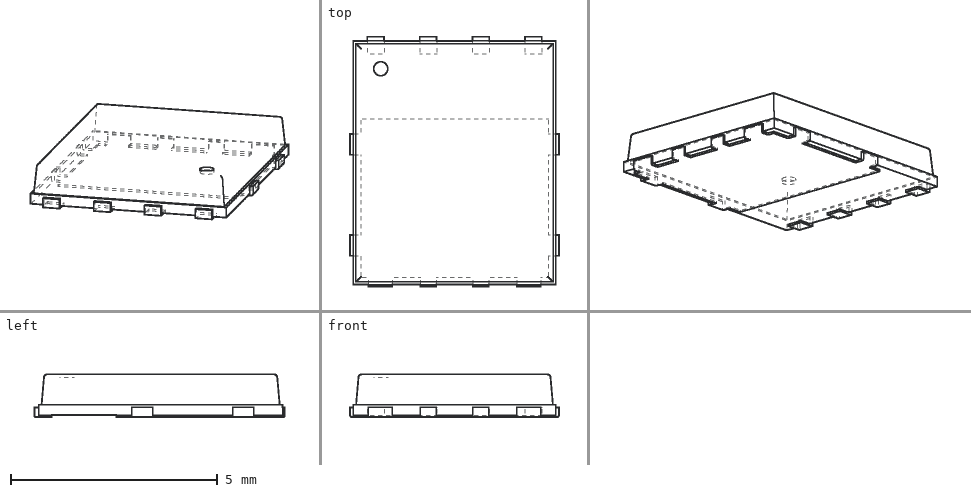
import cadquery as cq

BASE_WIDTH = 4.9
BASE_LENGTH = 5.9
STANDOFF = 0.05
BASE_TOP = 0.3
TOTAL_HEIGHT = 1.04
COVER_INSET = 0.065
COVER_DRAFT = 5.0
COVER_FILLET = 0.09

MARK_DIAMETER = 0.34
MARK_X = -1.785
MARK_Y = 2.275
MARK_DEPTH = 0.08

LEAD_TOP = 0.235
LEAD_PITCH = 1.27
LARGE_BEND = 0.055
SMALL_BEND = 0.03
BACK_LEAD_COUNT = 4
BACK_LEAD_WIDTH = 0.41
BACK_LEAD_REACH = 0.1
BACK_FOOT_LENGTH = 0.42
FRONT_LEAD_REACH = 0.05
FRONT_LEAD_WIDTH = 0.395
CORNER_LEAD_WIDTH = 0.575
CORNER_LEAD_X = 1.795
SIDE_LEAD_REACH = 0.08
SIDE_LEAD_WIDTH = 0.51
SIDE_LEAD_YS = (0.45, -1.995)

PAD_INSET = 0.18
PAD_BACK_Y = 1.07


def block(x_min, x_max, y_min, y_max, z_min, z_max):
    """Axis-aligned box between the given limits."""
    size = (x_max - x_min, y_max - y_min, z_max - z_min)
    return cq.Workplane("XY").box(*size, centered=False).translate((x_min, y_min, z_min))


def make_base():
    return block(-BASE_WIDTH / 2, BASE_WIDTH / 2, -BASE_LENGTH / 2, BASE_LENGTH / 2, STANDOFF, BASE_TOP)


def make_cover():
    cover = (
        cq.Workplane("XY", origin=(0, 0, BASE_TOP))
        .rect(BASE_WIDTH - 2 * COVER_INSET, BASE_LENGTH - 2 * COVER_INSET)
        .extrude(TOTAL_HEIGHT - BASE_TOP, taper=COVER_DRAFT)
        .faces(">Z")
        .edges()
        .fillet(COVER_FILLET)
    )
    mark = (
        cq.Workplane("XY", origin=(MARK_X, MARK_Y, TOTAL_HEIGHT - MARK_DEPTH))
        .circle(MARK_DIAMETER / 2)
        .extrude(MARK_DEPTH)
    )
    return cover.cut(mark)


def make_pad():
    half_width = BASE_WIDTH / 2 - PAD_INSET
    return block(-half_width, half_width, -BASE_LENGTH / 2 + PAD_INSET, PAD_BACK_Y, 0, STANDOFF)


def make_back_leads():
    """Separate leads in a centred row on the +Y side."""
    y_outer = BASE_LENGTH / 2 + BACK_LEAD_REACH
    leads = cq.Workplane("XY")
    for index in range(BACK_LEAD_COUNT):
        x = (index - (BACK_LEAD_COUNT - 1) / 2) * LEAD_PITCH
        x_min = x - BACK_LEAD_WIDTH / 2
        x_max = x + BACK_LEAD_WIDTH / 2
        lead = block(x_min, x_max, BASE_LENGTH / 2, y_outer, 0, LEAD_TOP)
        lead = lead.union(block(x_min, x_max, y_outer - BACK_FOOT_LENGTH, BASE_LENGTH / 2, 0, STANDOFF))
        leads = leads.add(lead.faces(">Y").edges("<Z").fillet(SMALL_BEND))
    return leads.combine()


def make_front_lead(x, width, bend):
    """Lead on the -Y side whose foot runs into the thermal pad."""
    x_min = x - width / 2
    x_max = x + width / 2
    y_body = -BASE_LENGTH / 2
    lead = block(x_min, x_max, y_body - FRONT_LEAD_REACH, y_body, 0, LEAD_TOP)
    lead = lead.union(block(x_min, x_max, y_body, y_body + PAD_INSET, 0, STANDOFF))
    return lead.faces("<Y").edges("<Z").fillet(bend)


def make_side_lead(side, y):
    """Lead on the -X side (side = -1) or the +X side (side = 1), joined to the thermal pad."""
    y_min = y - SIDE_LEAD_WIDTH / 2
    y_max = y + SIDE_LEAD_WIDTH / 2
    x_body = BASE_WIDTH / 2
    lead = block(x_body, x_body + SIDE_LEAD_REACH, y_min, y_max, 0, LEAD_TOP)
    lead = lead.union(block(x_body - PAD_INSET, x_body, y_min, y_max, 0, STANDOFF))
    lead = lead.faces(">X").edges("<Z").fillet(LARGE_BEND)
    return lead if side > 0 else lead.mirror("YZ")


result = make_base().union(make_cover()).union(make_pad()).union(make_back_leads())
for side in (-1, 1):
    result = result.union(make_front_lead(side * LEAD_PITCH / 2, FRONT_LEAD_WIDTH, SMALL_BEND))
    result = result.union(make_front_lead(side * CORNER_LEAD_X, CORNER_LEAD_WIDTH, LARGE_BEND))
    for y in SIDE_LEAD_YS:
        result = result.union(make_side_lead(side, y))